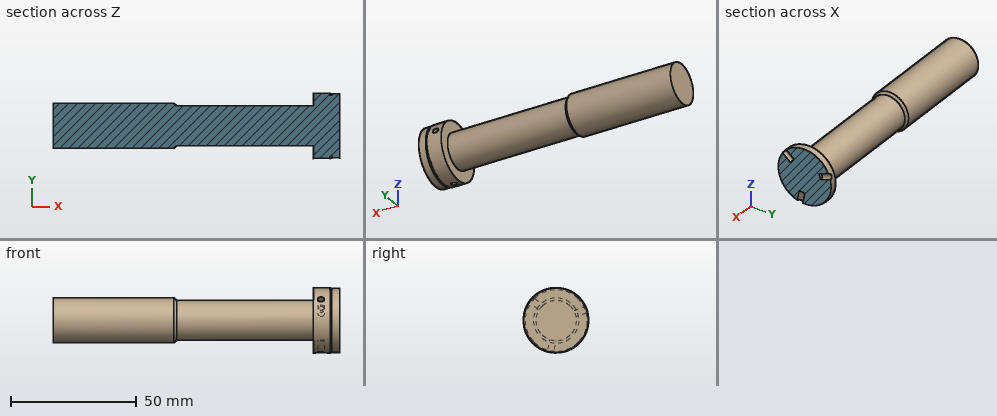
import cadquery as cq
import math

total_length = 113.82
grip_diameter = 18.0
shaft_diameter = 16.0
head_diameter = 26.0
groove_diameter = 24.5
cap_diameter = 25.6

grip_length = 49.0
taper_length = 1.15
collar_length = 6.6
groove_width = 0.7
cap_length = 3.2
head_length = collar_length + groove_width + cap_length
shaft_length = total_length - grip_length - head_length

hole_diameter = 2.5
hole_depth = 5.0
hole_offset = 3.0
hole_count = 3
first_hole_angle = 20.0


def cylinder(start, length, diameter):
    """Solid cylinder on the X axis, beginning at X = start."""
    return cq.Workplane("YZ", origin=(start, 0, 0)).circle(diameter / 2).extrude(length)


def turned_body():
    """Grip, shaft and grooved head, stacked along X."""
    taper_start = grip_length - taper_length
    taper = cq.Solid.makeCone(
        grip_diameter / 2,
        shaft_diameter / 2,
        taper_length,
        cq.Vector(taper_start, 0, 0),
        cq.Vector(1, 0, 0),
    )
    head_start = grip_length + shaft_length
    groove_start = head_start + collar_length
    cap_start = groove_start + groove_width
    return (
        cylinder(0, taper_start, grip_diameter)
        .union(cq.Workplane(taper))
        .union(cylinder(grip_length, shaft_length, shaft_diameter))
        .union(cylinder(head_start, collar_length, head_diameter))
        .union(cylinder(groove_start, groove_width, groove_diameter))
        .union(cylinder(cap_start, cap_length, cap_diameter))
    )


def radial_hole(angle):
    """Cutter for a blind hole drilled into the collar towards the axis."""
    radians = math.radians(angle)
    outward = cq.Vector(0, math.cos(radians), math.sin(radians))
    hole_x = total_length - head_length + hole_offset
    bottom = cq.Vector(hole_x, 0, 0) + outward * (head_diameter / 2 - hole_depth)
    cutter_length = hole_depth + hole_diameter
    return cq.Solid.makeCylinder(hole_diameter / 2, cutter_length, bottom, outward)


result = turned_body()
for index in range(hole_count):
    hole_angle = first_hole_angle + index * 360 / hole_count
    result = result.cut(cq.Workplane(radial_hole(hole_angle)))